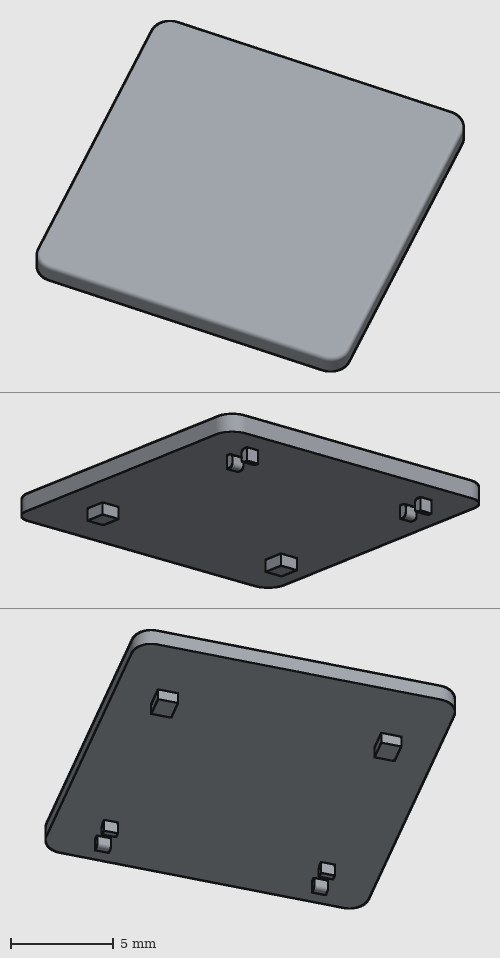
import cadquery as cq

PLATE_SIDE = 16.5
PLATE_THICKNESS = 1.0
CORNER_RADIUS = 1.0
TOP_EDGE_RADIUS = 0.2

CLIP_CENTRE_X = -6.0
CLIP_OUTER_WIDTH = 1.55
CLIP_GAP = 0.7
CLIP_INNER_Y = 5.2
CLIP_OUTER_Y = 5.9
CLIP_DEPTH = 0.7
PRONG_EDGE_RADIUS = 0.2

BLOCK_MIN_X = 3.84
BLOCK_MAX_X = 5.0
BLOCK_INNER_Y = CLIP_INNER_Y
BLOCK_OUTER_Y = 6.22
BLOCK_DEPTH = 0.63


def make_plate():
    """Square plate with rounded corners and a rounded top edge."""
    plate = cq.Workplane("XY").rect(PLATE_SIDE, PLATE_SIDE).extrude(PLATE_THICKNESS)
    plate = plate.edges("|Z").fillet(CORNER_RADIUS)
    return plate.faces(">Z").edges().fillet(TOP_EDGE_RADIUS)


def make_clip():
    """Two prongs on the +Y side, each rounded on the edges facing the gap."""
    prong_width = (CLIP_OUTER_WIDTH - CLIP_GAP) / 2
    length = CLIP_OUTER_Y - CLIP_INNER_Y
    prong = cq.Workplane("XY").box(prong_width, length, CLIP_DEPTH, centered=False)
    prong = prong.faces("<X").edges("|Y").fillet(PRONG_EDGE_RADIUS)
    prong = prong.translate((CLIP_GAP / 2, CLIP_INNER_Y, -CLIP_DEPTH))
    return prong.union(prong.mirror("YZ")).translate((CLIP_CENTRE_X, 0, 0))


def make_block():
    """Locating block on the +Y side, hanging from the underside of the plate."""
    width = BLOCK_MAX_X - BLOCK_MIN_X
    length = BLOCK_OUTER_Y - BLOCK_INNER_Y
    block = cq.Workplane("XY").box(width, length, BLOCK_DEPTH, centered=False)
    return block.translate((BLOCK_MIN_X, BLOCK_INNER_Y, -BLOCK_DEPTH))


result = make_plate()
for feature in (make_clip(), make_block()):
    result = result.union(feature).union(feature.mirror("XZ"))